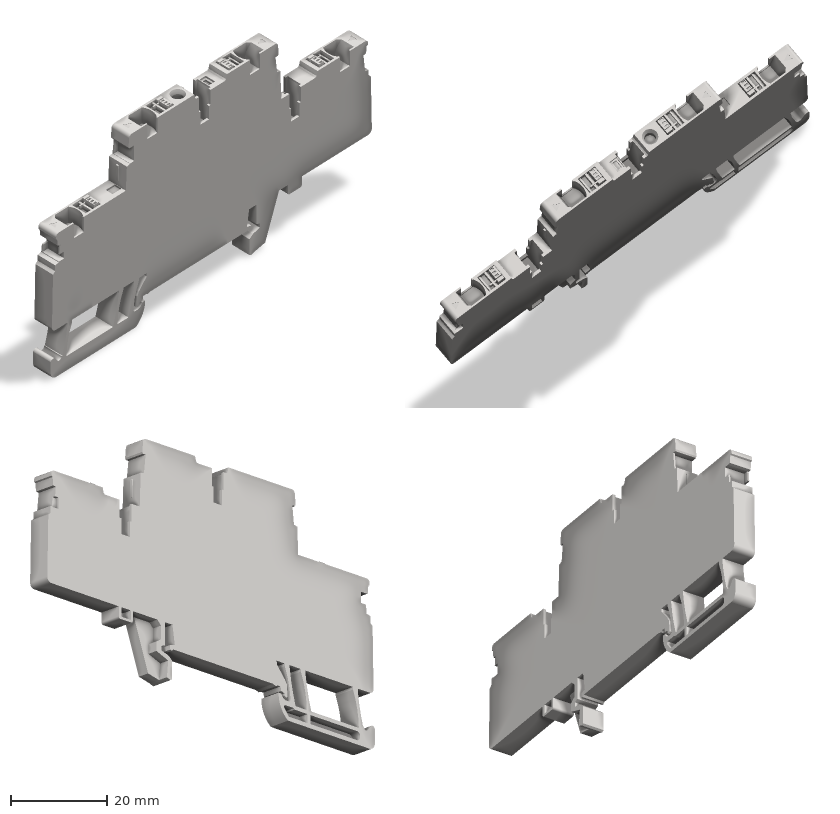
import cadquery as cq


THICKNESS = 5.1
HALF_X = THICKNESS / 2

BODY_BOTTOM = 12.4
RAIL_SEAT = 7.0
LOWER_TOP = 37.6
UPPER_TOP = 51.7
LOWER_MID = 0.2
UPPER_MID = -2.3
LOWER_HALF_LENGTH = 47.3
UPPER_HALF_LENGTH = 23.0
BODY_CORNER_RADIUS = 1.1
LOWER_LIP = 46.2
UPPER_LIP = 21.9
LIP_RADIUS = 0.9

SHOULDER_DROP = 1.4
LOWER_SHOULDER = LOWER_TOP - SHOULDER_DROP
UPPER_SHOULDER = UPPER_TOP - SHOULDER_DROP
LOWER_STEP_Y = 31.4
UPPER_LEFT_STEP_Y = 4.7
UPPER_RIGHT_STEP_Y = -5.0

LOWER_SLOT_Y = 24.8
UPPER_SLOT_Y = -1.9
SLOT_HALF_TOP = 1.7
SLOT_HALF_BOTTOM = 1.2
SLOT_LEDGE_DEPTH = 4.0
SLOT_DEPTH = 7.5


def side_prism(points, x_start=-HALF_X, x_end=HALF_X):
    """Closed (y, z) polygon extruded from x_start to x_end."""
    plane = cq.Workplane("YZ").workplane(offset=x_start)
    return plane.polyline(points).close().extrude(x_end - x_start)


def box(x0, x1, y0, y1, z0, z1):
    return cq.Workplane("XY").box(x1 - x0, y1 - y0, z1 - z0, centered=False).translate((x0, y0, z0))


def placed(profile, mid, side):
    """Turn (distance from mid, z) pairs into (y, z) on the +Y (side=1) or -Y (side=-1) half."""
    return [(mid + side * distance, z) for distance, z in profile]


LOWER_END = [
    (LOWER_HALF_LENGTH, BODY_BOTTOM),
    (LOWER_HALF_LENGTH, BODY_BOTTOM + BODY_CORNER_RADIUS + 0.1),
    (47.0, 27.4),
    (46.3, 28.0),
    (46.3, 29.5),
    (45.3, 29.7),
    (44.8, 34.2),
    (45.6, 34.3),
    (45.8, 36.1),
    (LOWER_LIP, 36.3),
    (LOWER_LIP, LOWER_TOP),
]

UPPER_END = [
    (22.7, 43.8),
    (21.75, 44.0),
    (21.3, 48.15),
    (22.0, 48.15),
    (22.2, 48.5),
    (UPPER_LIP, UPPER_TOP),
]


def bridge_slot(mid, shoulder):
    """Stepped slot outline, from its +Y lip down, across and up to its -Y lip."""
    half = [
        (SLOT_HALF_TOP, shoulder),
        (SLOT_HALF_TOP, shoulder - SLOT_LEDGE_DEPTH),
        (SLOT_HALF_BOTTOM, shoulder - SLOT_LEDGE_DEPTH),
        (SLOT_HALF_BOTTOM, shoulder - SLOT_DEPTH),
    ]
    return placed(half, mid, 1) + placed(half[::-1], mid, -1)


def shoulder_step(y_top, top, side):
    """Slightly leaning step with a flared foot; side is the direction from shoulder to top."""
    shoulder = top - SHOULDER_DROP
    return [(y_top, top), (y_top - side * 0.3, shoulder + 0.3), (y_top - side * 0.7, shoulder)]


RAIL_UNDERSIDE = [
    (-19.0, BODY_BOTTOM),
    (-19.1, 11.6),
    (-21.4, 8.9),
    (-21.9, 8.0),
    (-22.2, 5.2),
    (-21.75, 4.9),
    (-21.3, 5.3),
    (-21.3, 5.8),
    (-20.3, 6.1),
    (-20.1, RAIL_SEAT),
    (-19.3, RAIL_SEAT),
    (-18.8, 6.7),
    (-17.95, RAIL_SEAT),
    (10.9, RAIL_SEAT),
    (11.3, 6.65),
    (11.9, 6.7),
    (11.9, 7.8),
    (10.5, 8.2),
    (11.2, BODY_BOTTOM),
]


def housing():
    outline = (
        placed(LOWER_END, LOWER_MID, 1)
        + shoulder_step(LOWER_STEP_Y, LOWER_TOP, 0.95)
        + bridge_slot(LOWER_SLOT_Y, LOWER_SHOULDER)
        + placed([(UPPER_HALF_LENGTH, LOWER_SHOULDER)] + UPPER_END, UPPER_MID, 1)
        + shoulder_step(UPPER_LEFT_STEP_Y, UPPER_TOP, 0.95)
        + bridge_slot(UPPER_SLOT_Y, UPPER_SHOULDER)
        + shoulder_step(UPPER_RIGHT_STEP_Y, UPPER_TOP, -0.95)[::-1]
        + placed([(UPPER_HALF_LENGTH, LOWER_TOP)] + UPPER_END, UPPER_MID, -1)[::-1]
        + placed(LOWER_END, LOWER_MID, -1)[::-1]
        + RAIL_UNDERSIDE
    )
    body = side_prism(outline)
    for side in (1, -1):
        rounded_corners = [
            (LOWER_MID + side * LOWER_HALF_LENGTH, BODY_BOTTOM, BODY_CORNER_RADIUS),
            (LOWER_MID + side * LOWER_LIP, LOWER_TOP, LIP_RADIUS),
            (UPPER_MID + side * UPPER_LIP, UPPER_TOP, LIP_RADIUS),
        ]
        for y, z, radius in rounded_corners:
            body = body.edges(cq.selectors.NearestToPointSelector((0, y, z))).fillet(radius)
    return body


FOOT_RECESS = 2.4


def fixed_foot():
    """Leaning leg with a rail notch; the web behind its hooked rim is set back from -X."""
    rim_front = [
        (13.4, BODY_BOTTOM),
        (13.4, 7.3),
        (14.3, 6.9),
        (14.3, 5.9),
        (12.3, 5.3),
        (11.3, 4.5),
        (11.3, 0.3),
        (11.8, 0),
    ]
    leg_back = [(12.8, 0.4), (16.0, 1.0), (20.0, BODY_BOTTOM)]
    web_front = [
        (15.6, BODY_BOTTOM),
        (14.5, 11.4),
        (14.5, 8.4),
        (15.9, 7.5),
        (15.9, 5.4),
        (12.4, 4.2),
        (12.8, 0.4),
    ]
    overlap = [(20.0, BODY_BOTTOM + 0.95), (13.4, BODY_BOTTOM + 0.95)]
    leg = side_prism(rim_front + leg_back + overlap)
    return leg.cut(side_prism(web_front + leg_back[1:], -HALF_X, -HALF_X + FOOT_RECESS))


BAR_TOP = 3.8


def spring_leg(y_top, width):
    """Leg that leaves the housing upright and bows toward -Y into the foot bar."""
    embed = 0.5
    straight_end = BODY_BOTTOM - 0.6
    bow_z = 8.7
    waist = width - 0.6
    y_bow = y_top - 1.0
    y_bar = y_top - 1.7
    return (
        cq.Workplane("YZ")
        .workplane(offset=-HALF_X)
        .moveTo(y_top, BODY_BOTTOM + embed)
        .lineTo(y_top, straight_end)
        .threePointArc((y_bow, bow_z), (y_bar, BAR_TOP))
        .lineTo(y_bar, BAR_TOP - embed)
        .lineTo(y_bar - width, BAR_TOP - embed)
        .lineTo(y_bar - width, BAR_TOP)
        .threePointArc((y_bow - waist, bow_z), (y_top - width, straight_end))
        .lineTo(y_top - width, BODY_BOTTOM + embed)
        .close()
        .extrude(THICKNESS)
    )


def sprung_foot():
    """Foot bar with a curled hook toward the rail and an upturned grip at its -Y end."""
    bar = (
        cq.Workplane("YZ")
        .workplane(offset=-HALF_X)
        .moveTo(-19.6, 5.5)
        .threePointArc((-20.3, 2.3), (-22.3, 0))
        .lineTo(-46.0, 0)
        .threePointArc((-47.0, 0.5), (-47.5, 1.5))
        .lineTo(-47.5, 4.75)
        .threePointArc((-46.8, 5.3), (-46.2, 4.9))
        .lineTo(-45.5, 4.1)
        .threePointArc((-44.9, BAR_TOP), (-44.3, 4.6))
        .lineTo(-43.2, 4.6)
        .lineTo(-42.9, BAR_TOP)
        .lineTo(-23.7, BAR_TOP)
        .lineTo(-23.0, 5.1)
        .threePointArc((-22.8, 4.5), (-22.2, 4.4))
        .threePointArc((-21.1, 4.6), (-20.4, 5.5))
        .close()
        .extrude(THICKNESS)
    )
    legs = (
        spring_leg(-21.4, 1.4)
        .union(spring_leg(-26.0, 1.3))
        .union(spring_leg(-41.1, 1.4))
    )
    foot = bar.union(legs)
    pocket_bottom = 0.95
    pocket_top = 2.9
    short_pocket = side_prism(
        [
            (-22.5, pocket_bottom),
            (-27.9, pocket_bottom),
            (-27.9, pocket_top),
            (-24.2, pocket_top),
            (-24.0, 3.2),
            (-21.4, 3.2),
            (-21.1, 2.8),
        ],
        -HALF_X,
        -HALF_X + FOOT_RECESS,
    )
    pocket_height = pocket_top - pocket_bottom
    long_pocket = box(-HALF_X, -HALF_X + FOOT_RECESS, -43.2, -28.8, pocket_bottom, pocket_top)
    long_pocket = long_pocket.edges("|X and <Y").fillet(0.45 * pocket_height)
    return foot.cut(short_pocket).cut(long_pocket)


def underside_tab():
    """Small hollow stop under the housing."""
    tab = box(-HALF_X, HALF_X, 22.7, 26.8, 9.8, BODY_BOTTOM + 0.95).edges("|X and <Z").fillet(0.5)
    hollow = box(-HALF_X, -HALF_X + FOOT_RECESS, 23.3, 26.0, 10.35, BODY_BOTTOM)
    return tab.cut(hollow)


CLEAR = 0.95
MARK_DEPTH = 0.1
MARK_HALF_WIDTH = 0.9
MARK_INSET = 1.5
MARK_LENGTH = 1.7

LEVER_INSET = 3.8
LEVER_LENGTH = 5.3
LEVER_HALF_WIDTH = 2.2
LEVER_DEPTH = 4.3
LEVER_SLOPE_RUN = 1.3
LEVER_CHAMFER = 0.8
LEVER_BOW = 0.7
LEVER_OPENING_DEPTH = 4.0

CLAMP_INSET = 9.4
CLAMP_LENGTH = 4.5
CLAMP_HALF_WIDTH = 2.0
CLAMP_DEPTH = 1.4
CLAMP_OVERLAP = 0.1
TAB_HALF_WIDTH = 1.7
TAB_INSET = 2.8
TAB_LENGTH = 1.5
LOWER_TAB_RISE = 0.6
UPPER_TAB_RISE = 0.4
CELL_WIDTH = 0.5
CELL_STARTS_X = (-0.6, 0.3, 1.1)
SLIT_X = (-1.0, -0.8)


def arrow_mark(lip, top):
    """Engraved triangle pointing away from the free end of the tier."""
    base = lip - MARK_INSET
    points = [(-MARK_HALF_WIDTH, base), (MARK_HALF_WIDTH, base), (0, base - MARK_LENGTH)]
    mark = cq.Workplane("XY").workplane(offset=top - MARK_DEPTH).polyline(points).close()
    return mark.extrude(2 * MARK_DEPTH)


def lever_pocket(lip, top):
    """Pocket with a sloped outer wall, a bowed inner wall and an opening through the +X side."""
    outer = lip - LEVER_INSET
    inner = outer - LEVER_LENGTH
    floor = top - LEVER_DEPTH
    bow_start = inner + LEVER_BOW
    plan = (
        cq.Workplane("XY")
        .workplane(offset=floor)
        .moveTo(-LEVER_HALF_WIDTH, bow_start)
        .threePointArc((0, inner), (LEVER_HALF_WIDTH, bow_start))
        .lineTo(LEVER_HALF_WIDTH, outer)
        .lineTo(LEVER_CHAMFER - LEVER_HALF_WIDTH, outer)
        .lineTo(-LEVER_HALF_WIDTH, outer - LEVER_CHAMFER)
        .close()
        .extrude(LEVER_DEPTH + CLEAR)
    )
    slope = [(outer, top), (outer - LEVER_SLOPE_RUN, floor)]
    profile = side_prism([(inner, top + CLEAR), (outer, top + CLEAR)] + slope + [(inner, floor)])
    opening_start = bow_start + 0.2
    opening_end = outer - LEVER_SLOPE_RUN - 0.2
    opening = box(0, HALF_X, opening_start, opening_end, top - LEVER_OPENING_DEPTH, top + CLEAR)
    return plan.intersect(profile).union(opening)


def clamp_window(lip, top):
    outer = lip - CLAMP_INSET
    inner = outer - CLAMP_LENGTH
    return box(-CLAMP_HALF_WIDTH, CLAMP_HALF_WIDTH, inner, outer, top - CLAMP_DEPTH, top + CLEAR)


def clamp_insert(lip, top, rise):
    """Contact clamp in its window: a slotted tab, then a spine, a cross bar and a low sill."""
    outer = lip - CLAMP_INSET
    floor = top - CLAMP_DEPTH - CLAMP_OVERLAP
    tab_outer = outer - TAB_INSET
    tab_inner = tab_outer - TAB_LENGTH
    tab = box(-TAB_HALF_WIDTH, TAB_HALF_WIDTH, tab_inner, tab_outer, floor, top + rise)
    for x_cell in CELL_STARTS_X:
        tab = tab.cut(box(x_cell, x_cell + CELL_WIDTH, tab_inner + 0.5, tab_outer - 0.2, top, top + CLEAR))
    tab = tab.cut(box(*SLIT_X, tab_inner, tab_outer, top, top + CLEAR))
    spine = box(*SLIT_X, tab_outer, outer - 1.0, floor, top - 0.2)
    bar = box(-CLAMP_HALF_WIDTH, CLAMP_HALF_WIDTH, outer - 2.3, outer - 1.8, floor, top - 0.3)
    sill = box(-CLAMP_HALF_WIDTH, CLAMP_HALF_WIDTH, outer - 0.8, outer - 0.4, floor, top - 0.8)
    return tab.union(spine).union(bar).union(sill)


def bridge_funnel(mid, shoulder):
    """Tapered widening of the bridge slot between its two side walls."""
    half_width_x = 1.9
    mouth = 2.4
    floor = shoulder - SLOT_DEPTH - 0.95
    half = [(mouth, shoulder + 0.1), (mouth, shoulder - 0.5), (1.1, floor)]
    return side_prism(placed(half, mid, 1) + placed(half[::-1], mid, -1), -half_width_x, half_width_x)


def test_hole():
    """Countersunk round test point behind the upper bridge slot."""
    hole_y = -7.3
    radius = 1.2
    mouth_radius = 1.7
    depth = 2.4
    mouth_depth = 0.95
    bottom = cq.Workplane("XY").workplane(offset=UPPER_TOP - depth).center(0, hole_y)
    hole = bottom.circle(radius).extrude(depth)
    mouth = (
        cq.Workplane("XY")
        .workplane(offset=UPPER_TOP - mouth_depth)
        .center(0, hole_y)
        .circle(radius)
        .workplane(offset=mouth_depth)
        .circle(mouth_radius)
        .loft()
    )
    return hole.union(mouth)


def shallow_recesses():
    depth = 0.5
    square = box(-1.5, 1.2, 0.7, 2.5, UPPER_SHOULDER - depth, UPPER_SHOULDER + 0.95)
    square_step = box(-1.0, 0.9, 1.0, 2.0, UPPER_SHOULDER - 2 * depth, UPPER_SHOULDER)
    bracket = box(-0.6, 1.4, -28.0, -25.4, LOWER_TOP - depth, LOWER_TOP + 0.1)
    return square.union(square_step).union(bracket)


def wall_ribs():
    """Slim upright rib on each end wall of the upper tier."""
    rib_half_width = 0.3
    rib = [(21.8, 38.8), (UPPER_HALF_LENGTH, 38.8), (23.1, 42.9), (21.8, 42.9)]
    ribs = side_prism(placed(rib, UPPER_MID, 1), -rib_half_width, rib_half_width)
    return ribs.union(side_prism(placed(rib, UPPER_MID, -1), -rib_half_width, rib_half_width))


def end_notches():
    """Deepened marker grooves in the end walls, with thin walls left beside them."""
    lip = 0.4
    upper_right = box(-HALF_X + lip, HALF_X, -24.7, -22.8, 44.1, 48.15)
    lower_right = box(-HALF_X + lip, HALF_X, -45.6, -43.5, 29.9, 34.2)
    outer_wall = box(HALF_X - lip, HALF_X, -45.6, -43.5, 31.7, 34.2)
    window = box(-HALF_X, 0, -45.6, -43.5, 31.7, 34.2)
    lower_left = box(-HALF_X, -HALF_X + 0.8, 44.3, 46.1, 29.4, 32.0)
    return upper_right.union(lower_right.cut(outer_wall)).union(window).union(lower_left)


def at_tier_end(feature, mid, side):
    """Move a feature from the tier's own frame to its +Y (side=1) or -Y (side=-1) end."""
    if side < 0:
        feature = feature.mirror("XZ")
    return feature.translate((0, mid, 0))


def add_tier_features(part, mid, lip, top, tab_rise):
    """Marks, lever pockets and clamps at both ends of a tier."""
    for side in (1, -1):
        for cutter in (arrow_mark, lever_pocket, clamp_window):
            part = part.cut(at_tier_end(cutter(lip, top), mid, side))
        part = part.union(at_tier_end(clamp_insert(lip, top, tab_rise), mid, side))
    return part


result = housing().union(fixed_foot()).union(sprung_foot()).union(underside_tab())
result = result.cut(bridge_funnel(LOWER_SLOT_Y, LOWER_SHOULDER))
result = result.cut(bridge_funnel(UPPER_SLOT_Y, UPPER_SHOULDER))
result = result.cut(test_hole()).cut(shallow_recesses()).cut(end_notches())
result = result.union(wall_ribs())
result = add_tier_features(result, LOWER_MID, LOWER_LIP, LOWER_TOP, LOWER_TAB_RISE)
result = add_tier_features(result, UPPER_MID, UPPER_LIP, UPPER_TOP, UPPER_TAB_RISE)